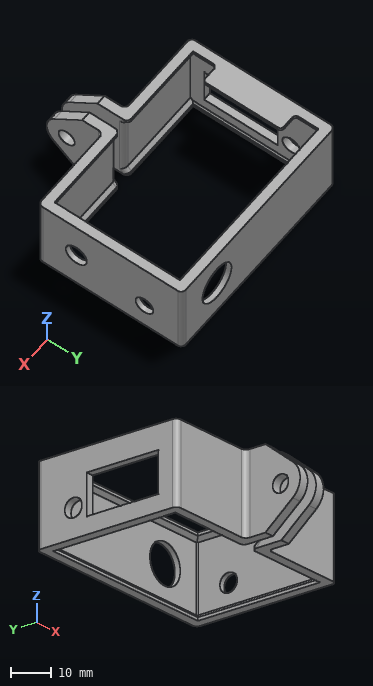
import cadquery as cq
import math

length = 63.4
total_depth = 62.8
frame_depth = 45.15
height = 24.0
wall = 3.0
bend_radius = 1.45
mid_height = height / 2
center_x = length / 2
pick_margin = 0.05

recess = 1.2
left_recess = 0.5
recess_corner = 0.3
lip_height = 0.95

gap = 3.35
ear_thickness = wall
ear_outer_half = gap / 2 + ear_thickness
ear_slope_y = -51.7
ear_tip_radius = 6.3
ear_hole_diameter = 5.1
ear_pivot_y = ear_tip_radius - total_depth

tab_reach = 8.7
tab_back_y = -10.3
tab_front_y = -34.8
tab_thickness = 0.95
tab_radius = 1.1

window_back_y = -16.1
window_front_y = -39.1
window_bottom_z = 4.95
window_top_z = 16.85
through_hole = (-11.85, 8.45, 5.5)
right_wall_hole = (-33.15, mid_height, 6.5)
back_hole_x = 48.95
back_hole_diameter = 12.0


def block(x0, x1, y0, y1, z0, z1):
    """Box between opposite corners."""
    return cq.Workplane("XY").box(x1 - x0, y1 - y0, z1 - z0, centered=False).translate((x0, y0, z0))


def cylinder_x(x0, x1, y, z, diameter):
    """Cylinder along X."""
    return cq.Workplane("YZ", origin=(x0, y, z)).circle(diameter / 2).extrude(x1 - x0)


def make_ring():
    """Rectangular ring with a bevelled recess, joined to two ears, all bends rounded."""
    ring = block(0, length, -frame_depth, 0, 0, height).edges("|Z").fillet(bend_radius)
    ears = block(center_x - ear_outer_half, center_x + ear_outer_half,
                 -total_depth, wall - frame_depth, 0, height)
    body = ring.union(ears)
    body = body.cut(block(wall, length - wall, wall - frame_depth, -wall, 0, height))
    body = body.cut(block(center_x - gap / 2, center_x + gap / 2, -total_depth, -wall, 0, height))
    body = body.cut(make_recess())
    return round_bends(body)


def round_bends(body):
    """Round where the ears leave the ring; the inner round follows the bevelled recess."""
    outer_y = (-frame_depth, -frame_depth)
    inner_y = (wall - recess - frame_depth, wall - frame_depth)
    for half_width, (y0, y1) in ((ear_outer_half, outer_y), (gap / 2, inner_y)):
        for x in (center_x - half_width, center_x + half_width):
            corner = cq.selectors.BoxSelector(
                (x - pick_margin, y0 - pick_margin, pick_margin),
                (x + pick_margin, y1 + pick_margin, height - pick_margin),
            )
            body = body.edges(corner).fillet(bend_radius)
    return body


def make_recess():
    """Widened middle of the opening, bevelled towards both lips; the left wall is cut less deep."""
    inset = wall - recess
    core = block(inset, length - inset, inset - frame_depth, -inset, lip_height, height - lip_height)
    core = core.faces("<Z or >Z").chamfer(recess)
    core = core.edges("|Z and >X").chamfer(recess_corner)
    left_limit = block(wall - left_recess, length, -frame_depth, 0, 0, height)
    return core.intersect(left_limit)


def make_ear_profile():
    """Side outline kept by the ears: sloped flanks tangent to a round tip."""
    run = ear_pivot_y - ear_slope_y
    distance = math.hypot(run, mid_height)
    corner_angle = math.atan2(mid_height, -run)
    tangent_angle = corner_angle + math.acos(ear_tip_radius / distance)
    tangent_y = ear_pivot_y + ear_tip_radius * math.cos(tangent_angle)
    tangent_rise = ear_tip_radius * math.sin(tangent_angle)
    return (
        cq.Workplane("YZ")
        .moveTo(0, 0)
        .lineTo(ear_slope_y, 0)
        .lineTo(tangent_y, mid_height - tangent_rise)
        .threePointArc((-total_depth, mid_height), (tangent_y, mid_height + tangent_rise))
        .lineTo(ear_slope_y, height)
        .lineTo(0, height)
        .close()
        .extrude(length)
    )


def make_tab():
    """Tab with rounded free corners and rounded roots against the wall."""
    tab = block(0, tab_reach, tab_front_y, tab_back_y, height - tab_thickness, height)
    tab = tab.edges("|Z and >X").fillet(tab_radius)
    root = block(0, wall + tab_radius, tab_front_y - tab_radius, tab_back_y + tab_radius,
                 height - tab_thickness, height)
    for y in (tab_front_y - tab_radius, tab_back_y + tab_radius):
        relief = (cq.Workplane("XY", origin=(wall + tab_radius, y, 0))
                  .circle(tab_radius).extrude(height))
        root = root.cut(relief)
    tab = tab.union(root)
    return tab.intersect(block(wall / 2, tab_reach, -frame_depth, 0, 0, height))


def cut_openings(body):
    """Window, ear pivot hole and round holes in the walls."""
    body = body.cut(block(0, wall, window_front_y, window_back_y, window_bottom_z, window_top_z))
    body = body.cut(cylinder_x(0, length, *through_hole))
    body = body.cut(cylinder_x(center_x, length, *right_wall_hole))
    body = body.cut(cylinder_x(0, length, ear_pivot_y, mid_height, ear_hole_diameter))
    back_hole = (cq.Workplane("XZ", origin=(back_hole_x, 0, mid_height))
                 .circle(back_hole_diameter / 2).extrude(wall))
    return body.cut(back_hole)


body = make_ring().intersect(make_ear_profile())
result = cut_openings(body.union(make_tab()))